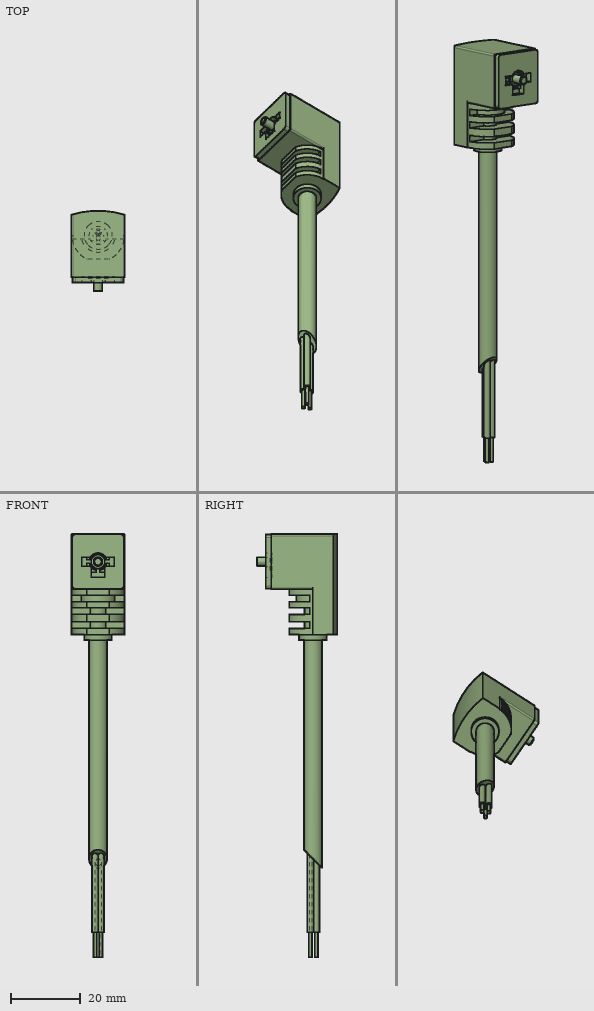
import cadquery as cq


BODY_WIDTH = 15.5
BODY_HEIGHT = 29.0
HEAD_HEIGHT = 16.0
SHOULDER_Y = 5.8
CROWN_RISE = 1.2
HEAD_FRONT_Y = -12.1
EDGE_RADIUS = 0.5

PLATE_WIDTH = 14.7
PLATE_HEIGHT = 15.7
PLATE_THICKNESS = 1.6
PLATE_CORNER_RADIUS = 0.9

SOCKET_DIAMETER = 5.0
SOCKET_DEPTH = 1.8
KEY_LEVEL = 1.2
SIDE_ARM_REACH = 4.6
SIDE_ARM_HEIGHT = 2.5
SIDE_KEY_REACH = 3.2
LOWER_ARM_REACH = 4.5
LOWER_ARM_WIDTH = 4.0
LOWER_KEY_REACH = 3.0
KEY_SLOT_WIDTH = 1.0

PIN_DIAMETER = 2.5
PIN_LENGTH = 2.5
PIN_CHAMFER = 0.2
PIN_COLLAR_DIAMETER = 4.0

GROMMET_RADIUS = 7.5
GROMMET_FLAT_Y = -6.8
GROOVE_HEIGHT = 1.8
GROOVE_BACK_Y = -1.0
LOWER_GROOVES = (1.8, 5.8)
UPPER_GROOVE = 9.5
LOWER_CORE_DIAMETER = 5.0
UPPER_CORE_DIAMETER = 9.7

COLLAR_DIAMETER = 8.0
COLLAR_HEIGHT = 1.6
CABLE_DIAMETER = 5.2
CABLE_CUT_START = 90.9
INSULATION_END = 114.7
OVERALL_HEIGHT = 121.8
WIRE_DIAMETER = 1.8
CONDUCTOR_DIAMETER = 1.0
FRONT_WIRE_SPACING = 1.7
FRONT_WIRE_Y = -0.7
BACK_WIRE_Y = 1.0

HEAD_BOTTOM_Z = BODY_HEIGHT - HEAD_HEIGHT
PIN_Z = BODY_HEIGHT - HEAD_HEIGHT / 2
FACE_Y = HEAD_FRONT_Y - PLATE_THICKNESS
SOCKET_FLOOR_Y = FACE_Y + SOCKET_DEPTH
TIP_Z = BODY_HEIGHT - OVERALL_HEIGHT


def block(x0, x1, y0, y1, z0, z1):
    """Axis-aligned box between opposite corners."""
    return cq.Workplane("XY").box(x1 - x0, y1 - y0, z1 - z0, centered=False).translate((x0, y0, z0))


def vertical_cylinder(diameter, z0, z1, x=0, y=0):
    return cq.Workplane("XY", origin=(x, y, z0)).circle(diameter / 2).extrude(z1 - z0)


def forward_cylinder(diameter, y_back, y_front):
    """Cylinder on the pin axis, running toward -Y."""
    plane = cq.Workplane("XZ", origin=(0, y_back, PIN_Z))
    return plane.circle(diameter / 2).extrude(y_back - y_front)


def crowned_prism(front_y, z0, z1):
    """Full-width block with a flat front and an arc across its back."""
    half = BODY_WIDTH / 2
    return (
        cq.Workplane("XY", origin=(0, 0, z0))
        .moveTo(-half, front_y)
        .lineTo(half, front_y)
        .lineTo(half, SHOULDER_Y)
        .threePointArc((0, SHOULDER_Y + CROWN_RISE), (-half, SHOULDER_Y))
        .close()
        .extrude(z1 - z0)
    )


def make_body():
    """L-shaped body: a head with rounded side edges, its face plate, and a sharp-edged stem."""
    head = crowned_prism(HEAD_FRONT_Y, HEAD_BOTTOM_Z, BODY_HEIGHT).edges("|Y").fillet(EDGE_RADIUS)
    stem = crowned_prism(0, 0, PIN_Z)
    plate = (
        cq.Workplane("XZ", origin=(0, HEAD_FRONT_Y, PIN_Z))
        .rect(PLATE_WIDTH, PLATE_HEIGHT)
        .extrude(PLATE_THICKNESS)
        .edges("|Y")
        .fillet(PLATE_CORNER_RADIUS)
    )
    return head.union(stem).union(plate)


def socket_arms(side_reach, lower_reach, y0, y1):
    """T shape of two side arms and one lower arm around the pin axis."""
    sides = block(
        -side_reach, side_reach, y0, y1, PIN_Z - SIDE_ARM_HEIGHT / 2, PIN_Z + SIDE_ARM_HEIGHT / 2
    )
    lower = block(-LOWER_ARM_WIDTH / 2, LOWER_ARM_WIDTH / 2, y0, y1, PIN_Z - lower_reach, PIN_Z)
    return sides.union(lower)


def make_socket():
    """Volume removed from the face plate: round well and arms, less the key blocks."""
    well = forward_cylinder(SOCKET_DIAMETER, SOCKET_FLOOR_Y, FACE_Y)
    key_face_y = FACE_Y + KEY_LEVEL
    slot = KEY_SLOT_WIDTH / 2
    side_slot = block(
        -SIDE_KEY_REACH, SIDE_KEY_REACH, key_face_y, SOCKET_FLOOR_Y, PIN_Z - slot, PIN_Z + slot
    )
    lower_slot = block(-slot, slot, key_face_y, SOCKET_FLOOR_Y, PIN_Z - LOWER_KEY_REACH, PIN_Z)
    keys = (
        socket_arms(SIDE_KEY_REACH, LOWER_KEY_REACH, key_face_y, SOCKET_FLOOR_Y)
        .cut(well)
        .cut(side_slot)
        .cut(lower_slot)
    )
    arms = socket_arms(SIDE_ARM_REACH, LOWER_ARM_REACH, FACE_Y, SOCKET_FLOOR_Y)
    return well.union(arms).cut(keys)


def make_pin():
    """Chamfered contact pin standing on the socket floor inside a short collar."""
    collar = forward_cylinder(PIN_COLLAR_DIAMETER, SOCKET_FLOOR_Y, FACE_Y + KEY_LEVEL)
    pin = forward_cylinder(PIN_DIAMETER, SOCKET_FLOOR_Y, FACE_Y - PIN_LENGTH)
    return collar.union(pin.faces("<Y").chamfer(PIN_CHAMFER))


def make_grommet():
    """Round grommet with a flat front, grooved down to round cores."""
    r = GROMMET_RADIUS
    envelope = block(-r, r, GROMMET_FLAT_Y, 0, 0, HEAD_BOTTOM_Z)
    grommet = vertical_cylinder(2 * r, 0, HEAD_BOTTOM_Z).intersect(envelope)
    grooves = [(z, LOWER_CORE_DIAMETER) for z in LOWER_GROOVES] + [(UPPER_GROOVE, UPPER_CORE_DIAMETER)]
    for z, core_diameter in grooves:
        groove = block(-r, r, -r, GROOVE_BACK_Y, z, z + GROOVE_HEIGHT)
        core = vertical_cylinder(core_diameter, z, z + GROOVE_HEIGHT)
        grommet = grommet.cut(groove.cut(core))
    return grommet


def make_cable():
    """Jacket trimmed at 45 degrees, with three insulated wires and bare ends."""
    radius = CABLE_DIAMETER / 2
    trim_front_z = BODY_HEIGHT - CABLE_CUT_START
    trim_back_z = trim_front_z - CABLE_DIAMETER
    trim = (
        cq.Workplane("YZ")
        .polyline([(-radius, trim_front_z), (radius, trim_back_z), (radius, 0), (-radius, 0)])
        .close()
        .extrude(radius, both=True)
    )
    cable = vertical_cylinder(CABLE_DIAMETER, trim_back_z, 0).intersect(trim)
    cable = cable.union(vertical_cylinder(COLLAR_DIAMETER, -COLLAR_HEIGHT, 0))
    insulation_z = BODY_HEIGHT - INSULATION_END
    offset = FRONT_WIRE_SPACING / 2
    for x, y in [(-offset, FRONT_WIRE_Y), (offset, FRONT_WIRE_Y), (0, BACK_WIRE_Y)]:
        cable = cable.union(vertical_cylinder(WIRE_DIAMETER, insulation_z, trim_front_z, x, y))
        cable = cable.union(vertical_cylinder(CONDUCTOR_DIAMETER, TIP_Z, insulation_z, x, y))
    return cable


result = make_body().cut(make_socket()).union(make_pin()).union(make_grommet()).union(make_cable())